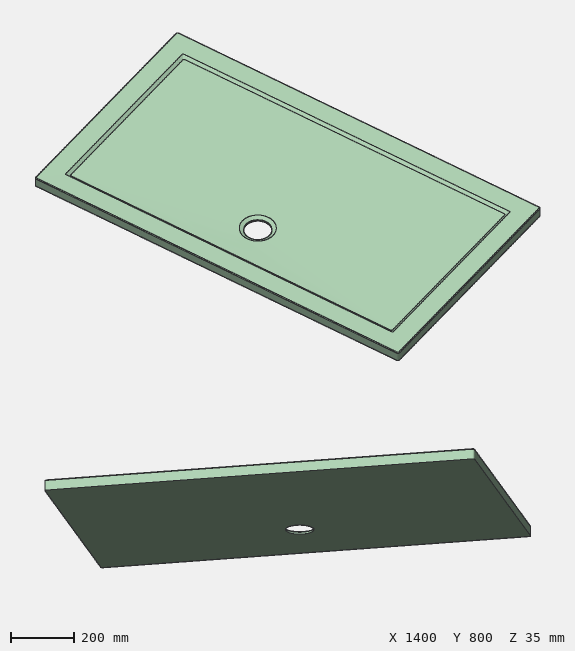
import cadquery as cq
import math

length = 1400.0
width = 800.0
height = 35.0
outer_corner_radius = 7.0
top_edge_chamfer = 3.0

rim_width = 70.0
rim_drop = 2.1
rim_corner_radius = 1.0
wall_width = 11.0
wall_drop = 8.0
floor_corner_radius = 4.0
floor_drop = 11.0

drain_y = -168.0
drain_radius = 45.0
drain_rim_radius = 59.0
drain_cone_depth = 7.0
crease_angle = 30.0
crease_spread = 0.2

floor_inset = rim_width + wall_width
rim_inner_z = height - rim_drop
floor_edge_z = rim_inner_z - wall_drop
drain_rim_z = floor_edge_z - floor_drop


def rounded_rectangle(inset, radius, z):
    """Rectangle inset from the tray outline, with its short sides split at mid-length."""
    x = length / 2 - inset
    y = width / 2 - inset
    cut = radius * (1 - math.sqrt(0.5))
    outline = (
        cq.Workplane("XY", origin=(0, 0, z))
        .moveTo(x, 0)
        .lineTo(x, y - radius)
        .threePointArc((x - cut, y - cut), (x - radius, y))
        .lineTo(radius - x, y)
        .threePointArc((cut - x, y - cut), (-x, y - radius))
        .lineTo(-x, 0)
        .lineTo(-x, radius - y)
        .threePointArc((cut - x, cut - y), (radius - x, -y))
        .lineTo(x - radius, -y)
        .threePointArc((x - cut, cut - y), (x, radius - y))
        .close()
    )
    return outline.val()


def drain_ring(z):
    """Circle split where the floor creases meet it, one arc per edge of the basin outline."""
    def point(degrees):
        angle = math.radians(degrees)
        return (drain_rim_radius * math.cos(angle), drain_y + drain_rim_radius * math.sin(angle))

    start = crease_angle - crease_spread
    end = crease_angle + crease_spread
    breaks = [
        0, start, end, 180 - end, 180 - start,
        180, 180 + start, 180 + end, 360 - end, 360 - start, 360,
    ]
    ring = cq.Workplane("XY", origin=(0, 0, z)).moveTo(*point(0))
    for first, last in zip(breaks, breaks[1:]):
        ring = ring.threePointArc(point((first + last) / 2), point(last))
    return cq.Wire.assembleEdges(ring.ctx.pendingEdges)


def ruled_solid(*sections):
    return cq.Workplane(cq.Solid.makeLoft(list(sections), True))


tray = (
    cq.Workplane("XY")
    .box(length, width, height, centered=(True, True, False))
    .edges("|Z").fillet(outer_corner_radius)
    .faces(">Z").edges().chamfer(top_edge_chamfer)
)

rim_outer = rounded_rectangle(top_edge_chamfer, outer_corner_radius - top_edge_chamfer, height)
rim_inner = rounded_rectangle(rim_width, rim_corner_radius, rim_inner_z)
floor_edge = rounded_rectangle(floor_inset, floor_corner_radius, floor_edge_z)
tray = tray.cut(ruled_solid(rim_outer, rim_inner))
tray = tray.cut(ruled_solid(rim_inner, floor_edge))
tray = tray.cut(ruled_solid(floor_edge, drain_ring(drain_rim_z)))

seat = cq.Solid.makeCone(
    drain_radius,
    drain_rim_radius,
    drain_cone_depth,
    pnt=cq.Vector(0, drain_y, drain_rim_z - drain_cone_depth),
)
hole = cq.Workplane("XY").center(0, drain_y).circle(drain_radius).extrude(height)
result = tray.cut(cq.Workplane(seat)).cut(hole)